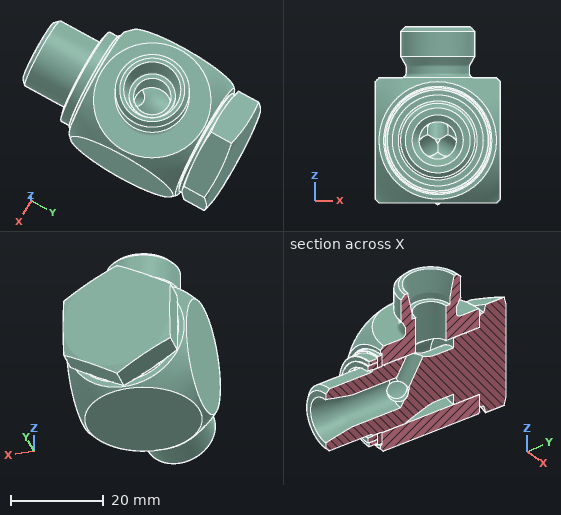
import cadquery as cq
import math


BLOCK_SIDE = 27.0
BLOCK_HALF = BLOCK_SIDE / 2
BACK_TRIM = 0.5
BLOCK_BACK_Y = BLOCK_HALF - BACK_TRIM
CORNER_SPHERE_RADIUS = 18.5
SEAL_RECESS_DIAMETER = 23.3
SEAL_RECESS_DEPTH = 0.5

PORT_TOP_Z = 24.5
PORT_DIAMETER = 16.0
PORT_CHAMFER = 1.0
PORT_RELIEF_DIAMETER = 13.7
PORT_RELIEF_FILLET = 1.0
PORT_TAPER_TOP_Z = 18.05
PORT_TAPER_ANGLE = 30.0
MOUTH_DIAMETER = 12.3
MOUTH_HALF_ANGLE = 12.0
TUBE_DIAMETER = 10.0
TUBE_DEPTH = 7.0
PORT_BORE_DIAMETER = 8.0

HEAD_END_Y = 20.0
HEAD_LENGTH = 6.0
HEAD_ACROSS_FLATS = 24.0
HEAD_SIDES = 6
HEAD_CHAMFER_ANGLE = 15.0
COLLAR_CHAMFER = 0.3
COLLAR_FACE_DIAMETER = 23.0
BOLT_LENGTH = 48.0
TIP_Y = HEAD_END_Y - BOLT_LENGTH
SHANK_DIAMETER = 17.0
THREAD_DIAMETER = 16.0
THREAD_CHAMFER = 1.0
THREAD_START_Y = -15.85
WAIST_DIAMETER = 12.0
WAIST_BACK_Y = 6.0
WAIST_FRONT_Y = 1.6
WAIST_FLARE = math.radians(20)
WAIST_FILLET_LENGTH = 2.8
WAIST_FILLET_RADIUS = WAIST_FILLET_LENGTH / math.sin(WAIST_FLARE)
BOLT_MOUTH_DIAMETER = 11.0
BOLT_BORE_DIAMETER = 8.0
BOLT_BORE_END_Y = -8.1
DRILL_HALF_ANGLE = 59.0
CROSS_HOLE_DIAMETER = 4.5
CROSS_HOLE_COUNT = 3
CROSS_HOLE_SLANT = math.radians(30)
CROSS_HOLE_AXIS_Y = -8.75

BASE_RING_DIAMETER = 22.75
BASE_RING_FRONT_Y = -14.2
BASE_RING_CHAMFER = 0.1
OUTER_RING_DIAMETER = 21.9
OUTER_RING_FRONT_Y = -16.5
OUTER_RING_CHAMFER = 0.1
INNER_RING_DIAMETER = 19.6
INNER_RING_FRONT_Y = -16.8


def revolve_outline(outline):
    """Close an outline and revolve it about the second axis of its plane (Y of XY, Z of XZ)."""
    return outline.close().revolve(360, (0, 0, 0), (0, 1, 0))


def y_cylinder(diameter, start_y, end_y):
    """Cylinder on the Y axis between two Y positions."""
    plane = cq.Workplane("XZ", origin=(0, end_y, 0))
    return plane.circle(diameter / 2).extrude(end_y - start_y)


def make_port():
    """Tube connector on the housing: relief groove, taper and chamfered collar."""
    relief = PORT_RELIEF_DIAMETER / 2
    collar = PORT_DIAMETER / 2
    fillet = PORT_RELIEF_FILLET
    taper = math.radians(PORT_TAPER_ANGLE)
    fillet_end_radius = relief + fillet * (1 - math.cos(taper))
    fillet_end_z = PORT_TAPER_TOP_Z - (collar - fillet_end_radius) / math.tan(taper)
    fillet_start_z = fillet_end_z - fillet * math.sin(taper)
    fillet_mid = (
        relief + fillet * (1 - math.cos(taper / 2)),
        fillet_start_z + fillet * math.sin(taper / 2),
    )
    root_mid = fillet * (1 - math.sqrt(0.5))
    return revolve_outline(
        cq.Workplane("XZ")
        .lineTo(relief + fillet, 0)
        .lineTo(relief + fillet, BLOCK_HALF)
        .threePointArc((relief + root_mid, BLOCK_HALF + root_mid), (relief, BLOCK_HALF + fillet))
        .lineTo(relief, fillet_start_z)
        .threePointArc(fillet_mid, (fillet_end_radius, fillet_end_z))
        .lineTo(collar, PORT_TAPER_TOP_Z)
        .lineTo(collar, PORT_TOP_Z - PORT_CHAMFER)
        .lineTo(collar - PORT_CHAMFER, PORT_TOP_Z)
        .lineTo(0, PORT_TOP_Z)
    )


def make_port_bore():
    """Conical mouth, tube socket and bore down to the bolt."""
    mouth = MOUTH_DIAMETER / 2
    tube = TUBE_DIAMETER / 2
    bore = PORT_BORE_DIAMETER / 2
    socket_z = PORT_TOP_Z - TUBE_DEPTH
    mouth_end_z = PORT_TOP_Z - (mouth - tube) / math.tan(math.radians(MOUTH_HALF_ANGLE))
    return revolve_outline(
        cq.Workplane("XZ")
        .lineTo(bore, 0)
        .lineTo(bore, socket_z)
        .lineTo(tube, socket_z)
        .lineTo(tube, mouth_end_z)
        .lineTo(mouth, PORT_TOP_Z)
        .lineTo(0, PORT_TOP_Z)
    )


def make_housing():
    """Sphere-rounded cube with the port, the bolt bore and the seal recess."""
    block = cq.Workplane("XY").box(BLOCK_SIDE, BLOCK_SIDE - BACK_TRIM, BLOCK_SIDE)
    block = block.translate((0, -BACK_TRIM / 2, 0))
    block = block.intersect(cq.Workplane("XY").sphere(CORNER_SPHERE_RADIUS))
    bolt_bore = y_cylinder(SHANK_DIAMETER, -BLOCK_HALF, BLOCK_BACK_Y)
    seal_recess = y_cylinder(SEAL_RECESS_DIAMETER, -BLOCK_HALF, -BLOCK_HALF + SEAL_RECESS_DEPTH)
    return block.union(make_port()).cut(make_port_bore()).cut(bolt_bore).cut(seal_recess)


def make_bolt_head():
    """Hexagon with both ends chamfered and two corners on the Z axis, on a round collar."""
    flat_radius = HEAD_ACROSS_FLATS / 2
    corner_radius = flat_radius / math.cos(math.pi / HEAD_SIDES)
    chamfer_length = (corner_radius - flat_radius) * math.tan(math.radians(HEAD_CHAMFER_ANGLE))
    hex_front_y = HEAD_END_Y - HEAD_LENGTH
    hexagon = (
        cq.Workplane("XZ", origin=(0, HEAD_END_Y, 0))
        .transformed(rotate=(0, 0, 90))
        .polygon(HEAD_SIDES, 2 * corner_radius)
        .extrude(HEAD_LENGTH)
    )
    chamfer_envelope = revolve_outline(
        cq.Workplane("XY")
        .moveTo(0, hex_front_y)
        .lineTo(flat_radius, hex_front_y)
        .lineTo(corner_radius, hex_front_y + chamfer_length)
        .lineTo(corner_radius, HEAD_END_Y - chamfer_length)
        .lineTo(flat_radius, HEAD_END_Y)
        .lineTo(0, HEAD_END_Y)
    )
    collar = revolve_outline(
        cq.Workplane("XY")
        .moveTo(0, BLOCK_BACK_Y)
        .lineTo(COLLAR_FACE_DIAMETER / 2, BLOCK_BACK_Y)
        .lineTo(flat_radius, BLOCK_BACK_Y + COLLAR_CHAMFER)
        .lineTo(flat_radius, hex_front_y)
        .lineTo(0, hex_front_y)
    )
    return hexagon.intersect(chamfer_envelope).union(collar)


def waist_fillet_point(angle):
    """Radius and Y of the waist fillet where it has turned by an angle in radians."""
    return (
        WAIST_DIAMETER / 2 + WAIST_FILLET_RADIUS * (1 - math.cos(angle)),
        WAIST_FRONT_Y - WAIST_FILLET_RADIUS * math.sin(angle),
    )


def make_bolt_shank():
    """Shank with a waist that flares to full diameter, then the chamfered thread."""
    shank = SHANK_DIAMETER / 2
    thread = THREAD_DIAMETER / 2
    waist = WAIST_DIAMETER / 2
    flare_radius, flare_y = waist_fillet_point(WAIST_FLARE)
    flare_end_y = flare_y - (shank - flare_radius) / math.tan(WAIST_FLARE)
    return revolve_outline(
        cq.Workplane("XY")
        .moveTo(0, BLOCK_BACK_Y)
        .lineTo(shank, BLOCK_BACK_Y)
        .lineTo(shank, WAIST_BACK_Y)
        .lineTo(waist, WAIST_BACK_Y)
        .lineTo(waist, WAIST_FRONT_Y)
        .threePointArc(waist_fillet_point(WAIST_FLARE / 2), (flare_radius, flare_y))
        .lineTo(shank, flare_end_y)
        .lineTo(shank, THREAD_START_Y + shank - thread)
        .lineTo(thread, THREAD_START_Y)
        .lineTo(thread, TIP_Y + THREAD_CHAMFER)
        .lineTo(thread - THREAD_CHAMFER, TIP_Y)
        .lineTo(0, TIP_Y)
    )


def make_bolt_bore():
    """Tapered mouth and drilled bore with a conical end."""
    mouth = BOLT_MOUTH_DIAMETER / 2
    bore = BOLT_BORE_DIAMETER / 2
    taper_end_y = TIP_Y + (mouth - bore) / math.tan(math.radians(MOUTH_HALF_ANGLE))
    drill_tip_y = BOLT_BORE_END_Y + bore / math.tan(math.radians(DRILL_HALF_ANGLE))
    return revolve_outline(
        cq.Workplane("XY")
        .moveTo(0, TIP_Y)
        .lineTo(mouth, TIP_Y)
        .lineTo(bore, taper_end_y)
        .lineTo(bore, BOLT_BORE_END_Y)
        .lineTo(0, drill_tip_y)
    )


def make_cross_hole():
    """Slanted hole from the bolt axis out through the flare on the top of the waist."""
    start = cq.Vector(0, CROSS_HOLE_AXIS_Y, 0)
    direction = cq.Vector(0, math.sin(CROSS_HOLE_SLANT), math.cos(CROSS_HOLE_SLANT))
    return cq.Workplane(cq.Solid.makeCylinder(CROSS_HOLE_DIAMETER / 2, SHANK_DIAMETER, start, direction))


def make_bolt():
    """Hollow bolt with cross holes that feed the chamber around its waist."""
    bolt = make_bolt_head().union(make_bolt_shank()).cut(make_bolt_bore())
    cross_hole = make_cross_hole()
    for index in range(CROSS_HOLE_COUNT):
        angle = index * 360 / CROSS_HOLE_COUNT
        bolt = bolt.cut(cross_hole.rotate((0, 0, 0), (0, 1, 0), angle))
    return bolt


def make_ring(outer_diameter, inner_diameter, back_y, front_y):
    """Plain ring on the bolt axis between two Y positions."""
    return y_cylinder(outer_diameter, front_y, back_y).cut(y_cylinder(inner_diameter, front_y, back_y))


def make_base_ring():
    """Ring seated in the recess of the housing."""
    back_y = -BLOCK_HALF + SEAL_RECESS_DEPTH
    ring = make_ring(BASE_RING_DIAMETER, SHANK_DIAMETER, back_y, BASE_RING_FRONT_Y)
    return chamfer_outer_front_edge(ring, BASE_RING_CHAMFER)


def make_outer_ring():
    """Ring against the base ring, around the inner ring."""
    ring = make_ring(OUTER_RING_DIAMETER, INNER_RING_DIAMETER, BASE_RING_FRONT_Y, OUTER_RING_FRONT_Y)
    return chamfer_outer_front_edge(ring, OUTER_RING_CHAMFER)


def make_inner_ring():
    """Ring on the shank that stands proud of the outer ring."""
    return make_ring(INNER_RING_DIAMETER, SHANK_DIAMETER, BASE_RING_FRONT_Y, INNER_RING_FRONT_Y)


def chamfer_outer_front_edge(ring, chamfer):
    """Chamfer the largest circle on the front face of a ring."""
    return ring.faces("<Y").edges(cq.selectors.RadiusNthSelector(-1)).chamfer(chamfer)


housing = make_housing()
bolt = make_bolt()
base_ring = make_base_ring()
outer_ring = make_outer_ring()
inner_ring = make_inner_ring()

result = cq.Compound.makeCompound(
    [housing.val(), bolt.val(), base_ring.val(), outer_ring.val(), inner_ring.val()]
)